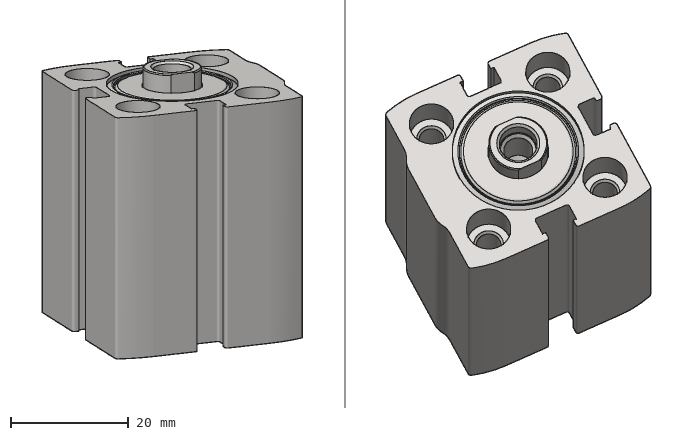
import cadquery as cq
import math

width = 34.5
crown_height = 1.0
housing_height = 42.5
half_width = width / 2
crown_y = half_width + crown_height

side_flat_half = 10.8
side_arc_radius = 20.0
corner_radius = 0.6

crown_flat_half = 5.0
crown_foot_half = 8.8

slot_depth = 4.5
side_slot_opening = 5.2
side_slot_width = 6.4
side_slot_lip = 1.4
side_slot_floor_radius = 0.4
side_slot_mouth_radius = 0.4
bottom_slot_opening = 5.0
bottom_slot_width = 6.5
bottom_slot_lip = 1.25
bottom_slot_radius = 0.5
bottom_lip_inner_radius = 0.3

mount_spacing = 22.0
mount_bore_diameter = 4.2
mount_counterbore_diameter = 7.5
mount_counterbore_depth = 6.0
mount_seat_diameter = 5.0

recess_diameter = 22.4
recess_depth = 0.7
collar_crest_diameter = 20.5
collar_crest_drop = 0.2
collar_bore_diameter = 20.0
collar_bore_drop = 0.35
cover_diameter = 19.5
cover_groove_drop = 0.66
cover_bevel_diameter = 18.6
cover_bevel_drop = 0.32
cover_face_diameter = 18.1
cover_drop = 0.25

rod_diameter = 10.0
rod_bore_diameter = 10.3
rod_projection = 3.0
rod_length = 15.0
rod_top_chamfer = 0.2
rod_flat_width = 9.0
rod_flat_length = 5.0
rod_pilot_diameter = 6.4
rod_pilot_depth = 2.6
rod_mouth_diameter = 7.3
rod_mouth_chamfer = 0.4
rod_thread_entry_diameter = 6.0
rod_thread_diameter = 4.92
rod_thread_depth = 10.0
drill_point_angle = 118.0
rod_top = housing_height + rod_projection
rod_bottom = rod_top - rod_length

position_tolerance = 0.01


def revolve_about_z(points):
    """Solid of revolution from (radius, z) points; the outline closes along the Z axis."""
    return cq.Workplane("XZ").polyline(points).close().revolve(360, (0, 0), (0, 1))


def vertical_edges_at(body, corners):
    """Vertical edges of a prism standing at the given (x, y) corners."""
    def stands_on_corner(edge):
        centre = edge.Center()
        return any(math.dist((centre.x, centre.y), corner) < position_tolerance for corner in corners)

    return body.edges("|Z").filter(stands_on_corner)


def housing_block():
    arc_centre_x = half_width - side_arc_radius
    sweep = math.asin((half_width - side_flat_half) / side_arc_radius)
    corner_x = arc_centre_x + side_arc_radius * math.cos(sweep)
    middle_x = arc_centre_x + side_arc_radius * math.cos(sweep / 2)
    middle_y = side_flat_half + side_arc_radius * math.sin(sweep / 2)
    crown_middle = ((crown_flat_half + crown_foot_half) / 2, half_width + crown_height / 2)

    block = (
        cq.Workplane("XY")
        .moveTo(-corner_x, -half_width)
        .lineTo(corner_x, -half_width)
        .threePointArc((middle_x, -middle_y), (half_width, -side_flat_half))
        .lineTo(half_width, side_flat_half)
        .threePointArc((middle_x, middle_y), (corner_x, half_width))
        .lineTo(crown_foot_half, half_width)
        .tangentArcPoint(crown_middle, relative=False)
        .tangentArcPoint((crown_flat_half, crown_y), relative=False)
        .lineTo(-crown_flat_half, crown_y)
        .tangentArcPoint((-crown_middle[0], crown_middle[1]), relative=False)
        .tangentArcPoint((-crown_foot_half, half_width), relative=False)
        .lineTo(-corner_x, half_width)
        .threePointArc((-middle_x, middle_y), (-half_width, side_flat_half))
        .lineTo(-half_width, -side_flat_half)
        .threePointArc((-middle_x, -middle_y), (-corner_x, -half_width))
        .close()
        .extrude(housing_height)
    )
    corners = [(sx * corner_x, sy * half_width) for sx in (-1, 1) for sy in (-1, 1)]
    return vertical_edges_at(block, corners).fillet(corner_radius)


def slot_cutter(opening, slot_width, lip, floor_radius):
    """T-slot entering from the -Y face: a narrow mouth and a wider pocket with rounded floor."""
    mouth = cq.Workplane("XY").box(opening, lip, housing_height, centered=(True, False, False))
    pocket = (
        cq.Workplane("XY")
        .box(slot_width, slot_depth - lip, housing_height, centered=(True, False, False))
        .edges("|Z and >Y")
        .fillet(floor_radius)
        .translate((0, lip, 0))
    )
    return mouth.union(pocket).translate((0, -half_width, 0))


def cut_slots(body):
    side_slot = slot_cutter(side_slot_opening, side_slot_width, side_slot_lip, side_slot_floor_radius)
    for angle in (-90, 90):
        body = body.cut(side_slot.rotate((0, 0, 0), (0, 0, 1), angle))
    mouth_y = side_slot_opening / 2
    mouth_corners = [(sx * half_width, sy * mouth_y) for sx in (-1, 1) for sy in (-1, 1)]
    body = vertical_edges_at(body, mouth_corners).fillet(side_slot_mouth_radius)

    body = body.cut(
        slot_cutter(bottom_slot_opening, bottom_slot_width, bottom_slot_lip, bottom_slot_radius)
    )
    lip_x = bottom_slot_opening / 2
    pocket_x = bottom_slot_width / 2
    lip_y = -half_width + bottom_slot_lip
    outer_corners = [(side * lip_x, -half_width) for side in (-1, 1)]
    inner_corners = [(side * x, lip_y) for side in (-1, 1) for x in (lip_x, pocket_x)]
    body = vertical_edges_at(body, outer_corners).fillet(bottom_slot_radius)
    return vertical_edges_at(body, inner_corners).fillet(bottom_lip_inner_radius)


def mounting_hole_cutter():
    bore_r = mount_bore_diameter / 2
    seat_r = mount_seat_diameter / 2
    counterbore_r = mount_counterbore_diameter / 2
    floor_z = housing_height - mount_counterbore_depth
    return revolve_about_z([
        (0, 0),
        (bore_r, 0),
        (bore_r, floor_z - (seat_r - bore_r)),
        (seat_r, floor_z),
        (counterbore_r, floor_z),
        (counterbore_r, housing_height),
        (0, housing_height),
    ])


def top_recess_cutter():
    """Shallow recess whose floor is a sloped collar, a ring groove and the bevelled flat cover."""
    top = housing_height
    return revolve_about_z([
        (0, top),
        (recess_diameter / 2, top),
        (recess_diameter / 2, top - recess_depth),
        (collar_crest_diameter / 2, top - collar_crest_drop),
        (collar_bore_diameter / 2, top - collar_bore_drop),
        (collar_bore_diameter / 2, top - cover_groove_drop),
        (cover_diameter / 2, top - cover_groove_drop),
        (cover_bevel_diameter / 2, top - cover_bevel_drop),
        (cover_face_diameter / 2, top - cover_drop),
        (0, top - cover_drop),
    ])


def make_housing():
    body = cut_slots(housing_block())
    hole = mounting_hole_cutter()
    offset = mount_spacing / 2
    for x in (-offset, offset):
        for y in (-offset, offset):
            body = body.cut(hole.translate((x, y, 0)))
    body = body.cut(top_recess_cutter())
    rod_bore = (
        cq.Workplane("XY", origin=(0, 0, rod_bottom))
        .circle(rod_bore_diameter / 2)
        .extrude(rod_length)
    )
    return body.cut(rod_bore)


def rod_socket_cutter():
    """Chamfered pilot bore, thread core bore and conical drill point, from the rod top down."""
    thread_r = rod_thread_diameter / 2
    entry_r = rod_thread_entry_diameter / 2
    pilot_r = rod_pilot_diameter / 2
    thread_bottom = rod_top - rod_thread_depth
    point_depth = thread_r / math.tan(math.radians(drill_point_angle / 2))
    pilot_bottom = rod_top - rod_pilot_depth
    return revolve_about_z([
        (0, thread_bottom - point_depth),
        (thread_r, thread_bottom),
        (thread_r, pilot_bottom - (entry_r - thread_r)),
        (entry_r, pilot_bottom),
        (pilot_r, pilot_bottom),
        (pilot_r, rod_top - rod_mouth_chamfer),
        (rod_mouth_diameter / 2, rod_top),
        (0, rod_top),
    ])


def make_rod():
    rod = (
        cq.Workplane("XY", origin=(0, 0, rod_bottom))
        .circle(rod_diameter / 2)
        .extrude(rod_length)
        .faces(">Z")
        .chamfer(rod_top_chamfer)
    )
    for side in (-1, 1):
        flat = cq.Workplane("XY").box(rod_diameter, rod_diameter, rod_flat_length)
        flat_x = side * (rod_flat_width + rod_diameter) / 2
        rod = rod.cut(flat.translate((flat_x, 0, rod_top - rod_flat_length / 2)))
    return rod.cut(rod_socket_cutter())


housing = make_housing()
piston_rod = make_rod()
result = cq.Compound.makeCompound([housing.val(), piston_rod.val()])